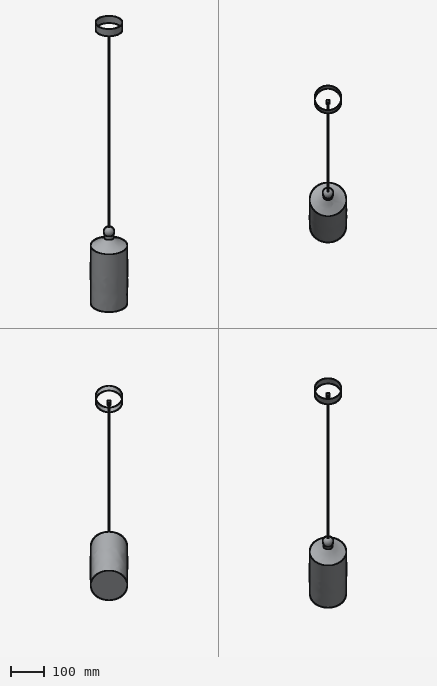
import cadquery as cq
import math

TOTAL_HEIGHT = 957.3
SHADE_HEIGHT = 185.5
BAND_HEIGHT = 12.0
CONE_HEIGHT = 26.0
COLLAR_HEIGHT = 12.0
GLAND_HEIGHT = 13.0
CANOPY_HEIGHT = 25.0

BAND_RADIUS = 108.94 / 2
NECK_RADIUS = 14.0
KNOB_RADIUS = 16.3
CABLE_RADIUS = 2.0
GLAND_RADIUS = 5.0
CANOPY_RADIUS = 40.0
CANOPY_WALL = 0.5

SHADE_BULGE = 0.82
CONE_SAG = 2.0
COLLAR_BULGE = 0.6

band_bottom = SHADE_HEIGHT
cone_bottom = band_bottom + BAND_HEIGHT
collar_bottom = cone_bottom + CONE_HEIGHT
knob_bottom = collar_bottom + COLLAR_HEIGHT
knob_center = knob_bottom + math.sqrt(KNOB_RADIUS**2 - NECK_RADIUS**2)
knob_top = knob_center + math.sqrt(KNOB_RADIUS**2 - CABLE_RADIUS**2)
canopy_bottom = TOTAL_HEIGHT - CANOPY_HEIGHT
gland_bottom = canopy_bottom - GLAND_HEIGHT


def make_pendant():
    """Barrel shade, cap, collar, knob, cable and gland, turned about Z as one solid."""
    shade_middle = (BAND_RADIUS + SHADE_BULGE, SHADE_HEIGHT / 2)
    cone_middle = ((BAND_RADIUS + NECK_RADIUS) / 2, cone_bottom + CONE_HEIGHT / 2 - CONE_SAG)
    collar_middle = (NECK_RADIUS + COLLAR_BULGE, collar_bottom + COLLAR_HEIGHT / 2)
    knob_widest = (KNOB_RADIUS, knob_center)
    return (
        cq.Workplane("XZ")
        .moveTo(0, 0)
        .lineTo(BAND_RADIUS, 0)
        .threePointArc(shade_middle, (BAND_RADIUS, band_bottom))
        .lineTo(BAND_RADIUS, cone_bottom)
        .threePointArc(cone_middle, (NECK_RADIUS, collar_bottom))
        .threePointArc(collar_middle, (NECK_RADIUS, knob_bottom))
        .threePointArc(knob_widest, (CABLE_RADIUS, knob_top))
        .lineTo(CABLE_RADIUS, gland_bottom)
        .lineTo(GLAND_RADIUS, gland_bottom)
        .lineTo(GLAND_RADIUS, canopy_bottom)
        .lineTo(0, canopy_bottom)
        .close()
        .revolve(360, (0, 0, 0), (0, 1, 0))
    )


def make_canopy():
    """Thin open ring at the ceiling, its lower rim level with the top of the gland."""
    return (
        cq.Workplane("XY", origin=(0, 0, canopy_bottom))
        .circle(CANOPY_RADIUS)
        .circle(CANOPY_RADIUS - CANOPY_WALL)
        .extrude(CANOPY_HEIGHT)
    )


pendant = make_pendant()
canopy = make_canopy()

result = cq.Compound.makeCompound([pendant.val(), canopy.val()])